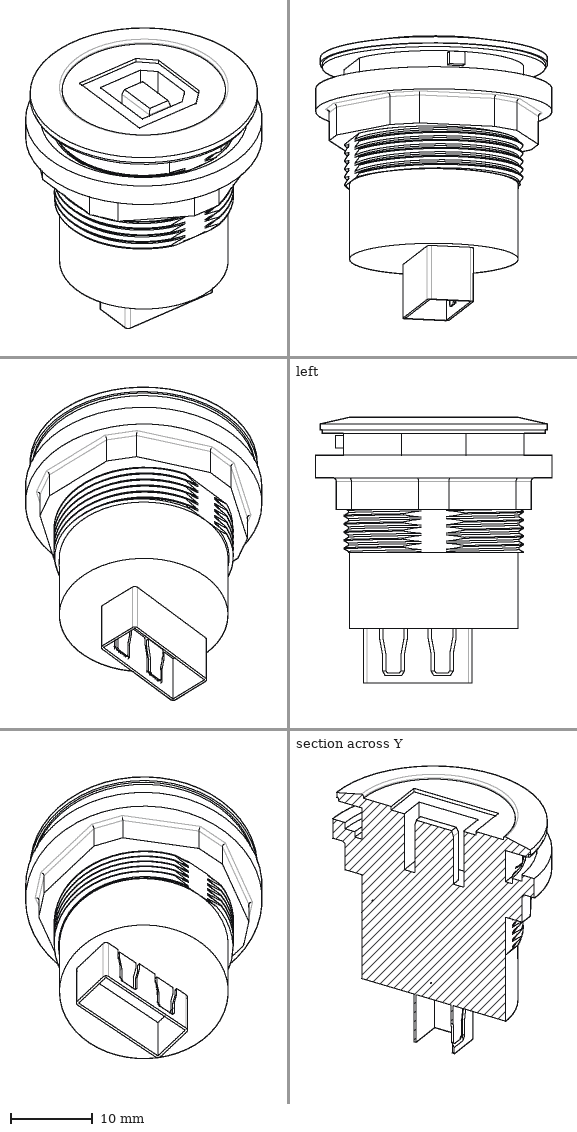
import cadquery as cq
import math

TOP_Z = 32.6
RIM_TOP_Z = 31.8
RIM_BOTTOM_Z = 31.05
LIP_BOTTOM_Z = 30.6
NUT_TOP_Z = 27.95
NECK_BOTTOM_Z = 27.1
NUT_FLANGE_BOTTOM_Z = 25.17
NUT_BOTTOM_Z = 21.25
THREAD_BOTTOM_Z = 16.0
BODY_BOTTOM_Z = 6.68

RIM_DIA = 27.9
LIP_DIA = 27.4
BODY_DIA = 20.7
NECK_DIA = 22.17
INSERT_DIA = 20.05
INSERT_DEPTH = 0.5
BEZEL_EDGE_RADIUS = (BODY_DIA - INSERT_DIA) / 2

KEY_WIDTH = 1.95
KEY_BOTTOM_Z = 28.82
KEY_TOP_Z = 30.38
KEY_REACH = 12.05

THREAD_ROOT_DIA = 20.93
THREAD_CREST_DIA = 22.0
THREAD_PITCH = 1.0
CREST_WIDTH = 0.13
FLANK_ANGLE = 30.0
THREAD_OVERLAP = 0.1
THREAD_START_Z = 15.25
THREAD_HIDDEN_LENGTH = 0.4

NUT_FLANGE_DIA = 29.0
NUT_ACROSS_FLATS = 23.95
NUT_ACROSS_CORNERS = 25.5
NUT_FILLET = 0.42
NUT_RECESS_DIA = 25.35
NUT_RECESS_DEPTH = 0.88
NUT_BORE_DIA = 22.6
NUT_BORE_DEPTH = 1.63

PORT_X = -0.05
FACE_WIDTH = 12.13
FACE_BOTTOM_Y = -5.3
FACE_TOP_Y = 5.38
FACE_CORNER = 1.95
FACE_DEPTH = 0.5
CAVITY_WIDTH = 8.48
CAVITY_BOTTOM_Y = -3.42
CAVITY_TOP_Y = 4.27
CAVITY_CORNER = 1.53
CAVITY_DEPTH = 8.8
TONGUE_WIDTH = 5.57
TONGUE_HEIGHT = 3.25
TONGUE_Y = 0.42
TONGUE_TOP_Z = 31.23
TONGUE_BEVEL_INSET = 0.23
TONGUE_BEVEL_DROP = 0.75

SOCKET_X = PORT_X
SOCKET_Y = 1.95
SOCKET_WIDTH_X = 5.85
SOCKET_WIDTH_Y = 13.33
SOCKET_CORNER_RADIUS = 0.45
SHELL_WALL = 0.33

FINGER_SPACING = 5.95
FINGER_GAP = 0.42
FINGER_INSET = 0.18
FINGER_END_HALF = 0.72
WINDOW_TOP_HALF = 1.73
WINDOW_TIP_HALF = 1.37
WINDOW_END_HALF = 1.0
WINDOW_TAPER_TOP_Z = 5.57
WINDOW_TAPER_BOTTOM_Z = 3.65
WINDOW_TIP_Z = 1.5
WINDOW_END_Z = 0.9


def disc(diameter, bottom, top):
    return cq.Workplane("XY").workplane(offset=bottom).circle(diameter / 2).extrude(top - bottom)


def block(width_x, width_y, bottom, top):
    return cq.Workplane("XY").workplane(offset=bottom).rect(width_x, width_y).extrude(top - bottom)


def make_bezel():
    return (
        cq.Workplane("XZ")
        .moveTo(0, LIP_BOTTOM_Z)
        .lineTo(LIP_DIA / 2, LIP_BOTTOM_Z)
        .lineTo(LIP_DIA / 2, RIM_BOTTOM_Z)
        .lineTo(RIM_DIA / 2, RIM_BOTTOM_Z)
        .lineTo(RIM_DIA / 2, RIM_TOP_Z)
        .lineTo(BODY_DIA / 2, TOP_Z)
        .radiusArc((INSERT_DIA / 2, TOP_Z - BEZEL_EDGE_RADIUS), -BEZEL_EDGE_RADIUS)
        .lineTo(INSERT_DIA / 2, TOP_Z - INSERT_DEPTH)
        .lineTo(0, TOP_Z - INSERT_DEPTH)
        .close()
        .revolve(360, (0, 0, 0), (0, 1, 0))
    )


def make_thread(bottom, top):
    """Flat-sided threaded rod; the helix keeps one phase whatever stretch is asked for."""
    base_radius = THREAD_ROOT_DIA / 2 - THREAD_OVERLAP
    crest_radius = THREAD_CREST_DIA / 2
    half_crest = CREST_WIDTH / 2
    half_base = half_crest + (crest_radius - base_radius) * math.tan(math.radians(FLANK_ANGLE))
    skipped_turns = math.floor((bottom - half_base - THREAD_START_Z) / THREAD_PITCH)
    start_z = THREAD_START_Z + skipped_turns * THREAD_PITCH
    turns = math.ceil((top + half_base - start_z) / THREAD_PITCH)
    helix = cq.Wire.makeHelix(THREAD_PITCH, turns * THREAD_PITCH, base_radius)
    ridge = (
        cq.Workplane("XZ")
        .polyline(
            [
                (base_radius, -half_base),
                (crest_radius, -half_crest),
                (crest_radius, half_crest),
                (base_radius, half_base),
            ]
        )
        .close()
        .sweep(cq.Workplane(obj=helix), isFrenet=True)
        .translate((0, 0, start_z))
    )
    flats = block(BODY_DIA, NUT_FLANGE_DIA, bottom, top)
    core = disc(THREAD_ROOT_DIA, bottom, top).intersect(flats)
    return core.union(ridge.intersect(flats, clean=False), clean=False)


def make_barrel():
    """Neck and thread with two flats; inside the nut, out of sight, the thread is left plain."""
    thread = make_thread(THREAD_BOTTOM_Z, NUT_BOTTOM_Z + THREAD_HIDDEN_LENGTH)
    thread_in_bore = make_thread(NUT_TOP_Z - NUT_BORE_DEPTH, NECK_BOTTOM_Z)
    core = disc(THREAD_ROOT_DIA, NUT_BOTTOM_Z + THREAD_HIDDEN_LENGTH, NUT_TOP_Z - NUT_BORE_DEPTH)
    neck = disc(NECK_DIA, NECK_BOTTOM_Z, LIP_BOTTOM_Z)
    neck = neck.intersect(block(BODY_DIA, NUT_FLANGE_DIA, NECK_BOTTOM_Z, LIP_BOTTOM_Z))
    return core.union(thread).union(thread_in_bore).union(neck)


def make_key():
    key = block(KEY_WIDTH, KEY_REACH, KEY_BOTTOM_Z, KEY_TOP_Z)
    return key.translate((0, KEY_REACH / 2, 0))


def make_nut():
    hexagon = (
        cq.Workplane("XY")
        .workplane(offset=NUT_BOTTOM_Z)
        .polygon(6, NUT_ACROSS_FLATS, circumscribed=True)
        .extrude(NUT_FLANGE_BOTTOM_Z - NUT_BOTTOM_Z)
        .rotate((0, 0, 0), (0, 0, 1), 30)
    )
    for angle in (0, 60, 120):
        slab = block(NUT_ACROSS_CORNERS, NUT_FLANGE_DIA, NUT_BOTTOM_Z, NUT_FLANGE_BOTTOM_Z)
        hexagon = hexagon.intersect(slab.rotate((0, 0, 0), (0, 0, 1), angle))
    nut = hexagon.union(disc(NUT_FLANGE_DIA, NUT_FLANGE_BOTTOM_Z, NUT_TOP_Z))
    flange_underside = nut.faces("<Z[1]")
    nut = flange_underside.edges("not %CIRCLE").fillet(NUT_FILLET)
    nut = nut.cut(disc(NUT_RECESS_DIA, NUT_TOP_Z - NUT_RECESS_DEPTH, NUT_TOP_Z))
    return nut.cut(disc(NUT_BORE_DIA, NUT_TOP_Z - NUT_BORE_DEPTH, NUT_TOP_Z))


def port_prism(center_x, width, bottom_y, top_y, corner, depth):
    """Prism below the bezel top with the two upper corners cut at 45 degrees."""
    half = width / 2
    return (
        cq.Workplane("XY")
        .workplane(offset=TOP_Z)
        .polyline(
            [
                (center_x - half, bottom_y),
                (center_x + half, bottom_y),
                (center_x + half, top_y - corner),
                (center_x + half - corner, top_y),
                (center_x - half + corner, top_y),
                (center_x - half, top_y - corner),
            ]
        )
        .close()
        .extrude(-depth)
    )


def make_tongue():
    cavity_floor_z = TOP_Z - CAVITY_DEPTH
    tongue = block(TONGUE_WIDTH, TONGUE_HEIGHT, cavity_floor_z, TONGUE_TOP_Z)
    tongue = tongue.faces(">Z").chamfer(TONGUE_BEVEL_DROP, TONGUE_BEVEL_INSET)
    return tongue.translate((PORT_X, TONGUE_Y, 0))


def window_prism(gap, end_half, end_z, outer_depth, inner_depth):
    """Tapered window outline narrowed by gap on each side, between two depths in the -X wall."""
    right_edge = [
        (end_half, end_z),
        (WINDOW_TIP_HALF - gap, WINDOW_TIP_Z),
        (WINDOW_TIP_HALF - gap, WINDOW_TAPER_BOTTOM_Z),
        (WINDOW_TOP_HALF - gap, WINDOW_TAPER_TOP_Z),
        (WINDOW_TOP_HALF - gap, BODY_BOTTOM_Z),
    ]
    left_edge = [(-y, z) for y, z in reversed(right_edge)]
    return (
        cq.Workplane("YZ")
        .workplane(offset=outer_depth - SOCKET_WIDTH_X / 2)
        .polyline(right_edge + left_edge)
        .close()
        .extrude(inner_depth - outer_depth)
    )


def make_tip_ramp(window):
    """Sloped sill at the foot of a window, rising from the outer to the inner face of the wall."""
    outer_x = -SOCKET_WIDTH_X / 2
    wedge = (
        cq.Workplane("XZ")
        .polyline(
            [
                (outer_x, WINDOW_END_Z),
                (outer_x + SHELL_WALL, WINDOW_END_Z),
                (outer_x + SHELL_WALL, WINDOW_TIP_Z),
            ]
        )
        .close()
        .extrude(WINDOW_TIP_HALF, both=True)
    )
    return window.intersect(wedge)


def make_socket():
    """Open-ended rectangular shell with two spring fingers in its -X wall."""
    shell = block(SOCKET_WIDTH_X, SOCKET_WIDTH_Y, 0, BODY_BOTTOM_Z)
    shell = shell.edges("|Z").fillet(SOCKET_CORNER_RADIUS)
    opening = block(SOCKET_WIDTH_X - 2 * SHELL_WALL, SOCKET_WIDTH_Y - 2 * SHELL_WALL, 0, BODY_BOTTOM_Z)
    socket = shell.cut(opening)

    window = window_prism(0, WINDOW_END_HALF, WINDOW_END_Z, 0, SHELL_WALL)
    finger_end_z = WINDOW_END_Z + (WINDOW_TIP_Z - WINDOW_END_Z) * FINGER_INSET / SHELL_WALL
    finger = window_prism(
        FINGER_GAP, FINGER_END_HALF, finger_end_z, FINGER_INSET, FINGER_INSET + SHELL_WALL
    )
    finger = finger.union(make_tip_ramp(window))

    for side in (-1, 1):
        offset = (0, side * FINGER_SPACING / 2, 0)
        socket = socket.cut(window.translate(offset)).union(finger.translate(offset))
    return socket.translate((SOCKET_X, SOCKET_Y, 0))


def cut_port(part):
    face = port_prism(0, FACE_WIDTH, FACE_BOTTOM_Y, FACE_TOP_Y, FACE_CORNER, INSERT_DEPTH + FACE_DEPTH)
    cavity = port_prism(
        PORT_X, CAVITY_WIDTH, CAVITY_BOTTOM_Y, CAVITY_TOP_Y, CAVITY_CORNER, CAVITY_DEPTH
    )
    return part.cut(face).cut(cavity).union(make_tongue())


body = disc(BODY_DIA, BODY_BOTTOM_Z, THREAD_BOTTOM_Z)
result = make_barrel().union(make_nut()).union(body).union(make_bezel()).union(make_key())
result = cut_port(result).union(make_socket())